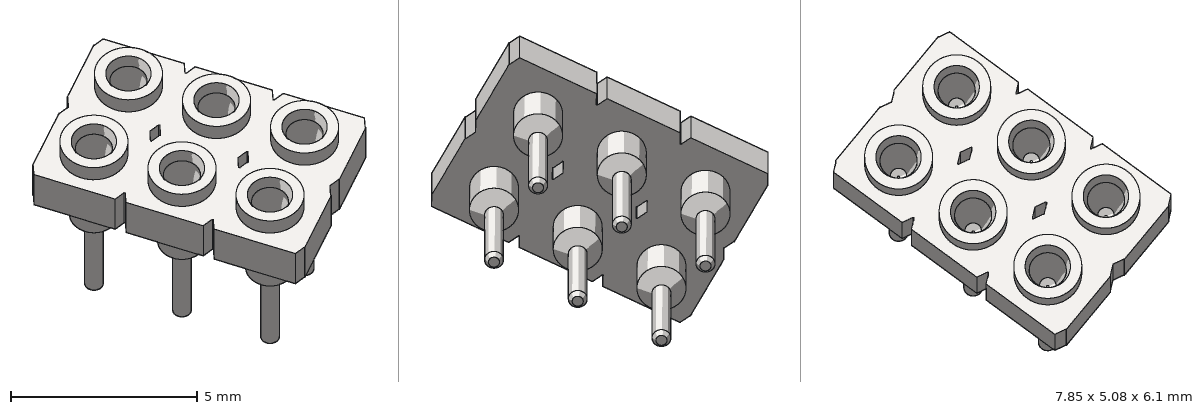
import cadquery as cq

COLUMNS = 3
ROWS = 2
housing_length = 7.85
housing_width = 5.08
housing_height = 1.27
pitch = housing_width / ROWS

notch_half_length = 0.16
notch_half_width = 0.3
notch_flat_length = 0.03

flange_diameter = 1.83
flange_height = 0.51
barrel_diameter = 1.32
barrel_projection = 1.27
taper_height = 0.3
tail_diameter = 0.51
tail_length = 2.75
tip_diameter = 0.3
tip_height = 0.13

mouth_diameter = 1.22
mouth_depth = 0.3
bore_diameter = 1.0
bore_depth = 0.5
funnel_diameter = 0.44
funnel_depth = 1.5
floor_diameter = 0.06
floor_depth = 1.6

housing_top = housing_height
flange_top = housing_top + flange_height
barrel_bottom = -barrel_projection
tail_top = barrel_bottom - taper_height
tip_bottom = tail_top - tail_length
tip_top = tip_bottom + tip_height


def centred_positions(count):
    """Pitch positions of a row of items centred on zero."""
    return [(i - (count - 1) / 2) * pitch for i in range(count)]


contact_positions = [(x, y) for x in centred_positions(COLUMNS) for y in centred_positions(ROWS)]


def make_housing():
    """Block with diamond notches at the cell corners and a hole for each contact barrel."""
    block = cq.Workplane("XY").box(housing_length, housing_width, housing_height, centered=(True, True, False))

    notch_columns = [-housing_length / 2, *centred_positions(COLUMNS - 1), housing_length / 2]
    notch_rows = centred_positions(ROWS + 1)
    diamond_outline = [
        (notch_half_length, 0),
        (notch_flat_length / 2, notch_half_width),
        (-notch_flat_length / 2, notch_half_width),
        (-notch_half_length, 0),
        (-notch_flat_length / 2, -notch_half_width),
        (notch_flat_length / 2, -notch_half_width),
    ]
    diamond = cq.Workplane("XY").polyline(diamond_outline).close().extrude(housing_height)
    for x in notch_columns:
        for y in notch_rows:
            block = block.cut(diamond.translate((x, y, 0)))

    holes = cq.Workplane("XY").pushPoints(contact_positions).circle(barrel_diameter / 2).extrude(housing_height)
    return block.cut(holes)


def make_contact(x, y):
    """Turned contact: half its section, socket included, revolved about a vertical axis."""
    half_section = (
        cq.Workplane("XZ")
        .moveTo(0, tip_bottom)
        .lineTo(tip_diameter / 2, tip_bottom)
        .lineTo(tail_diameter / 2, tip_top)
        .lineTo(tail_diameter / 2, tail_top)
        .lineTo(barrel_diameter / 2, barrel_bottom)
        .lineTo(barrel_diameter / 2, housing_top)
        .lineTo(flange_diameter / 2, housing_top)
        .lineTo(flange_diameter / 2, flange_top)
        .lineTo(mouth_diameter / 2, flange_top)
        .lineTo(bore_diameter / 2, flange_top - mouth_depth)
        .lineTo(bore_diameter / 2, flange_top - bore_depth)
        .lineTo(funnel_diameter / 2, flange_top - funnel_depth)
        .lineTo(floor_diameter / 2, flange_top - floor_depth)
        .lineTo(0, flange_top - floor_depth)
        .close()
    )
    return half_section.revolve(360, (0, 0, 0), (0, 1, 0)).translate((x, y, 0))


housing = make_housing()
contacts = [make_contact(x, y) for x, y in contact_positions]

result = cq.Compound.makeCompound([housing.val(), *[contact.val() for contact in contacts]])